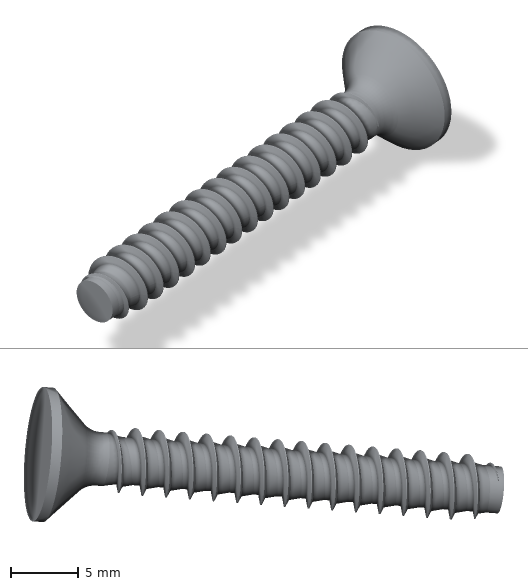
import cadquery as cq
import math

length = 35.0

head_radius = 5.0
rim_height = 0.77
neck_radius = 2.0
neck_blend_radius = 1.9
neck_end = 5.0
cone_angle = math.radians(45)

core_radius = 1.75
core_start = 6.3
crest_radius = 2.5
shoulder_radius = 1.95
thread_sink = 0.07
base_radius = core_radius - thread_sink
crest_width = 0.07
flank_width = 0.25
root_slope_width = 1.15

full_turns = 14.5
full_turns_length = 26.1
pitch = full_turns_length / full_turns
first_full_crest = 6.65
fade_turns = 1.0
run_in_start = -fade_turns
run_out_end = full_turns + fade_turns
run_in_scale = 0.5
run_out_scale = 0.2
points_per_turn = 16
stretch_turns = 0.5
stretch_count = round((run_out_end - run_in_start) / stretch_turns)


def make_body():
    """Head, neck and plain core as one revolved outline of (radius, Y) points."""
    blend_radius_at_cone = neck_radius + neck_blend_radius * (1 - math.cos(cone_angle))
    cone_end = rim_height + (head_radius - blend_radius_at_cone) / math.tan(cone_angle)
    blend_end = cone_end + neck_blend_radius * math.sin(cone_angle)
    half_angle = cone_angle / 2
    blend_mid_radius = neck_radius + neck_blend_radius * (1 - math.cos(half_angle))
    blend_mid = blend_end - neck_blend_radius * math.sin(half_angle)
    return (
        cq.Workplane("ZY")
        .lineTo(head_radius, 0)
        .lineTo(head_radius, -rim_height)
        .lineTo(blend_radius_at_cone, -cone_end)
        .threePointArc((blend_mid_radius, -blend_mid), (neck_radius, -blend_end))
        .lineTo(neck_radius, -neck_end)
        .lineTo(core_radius, -core_start)
        .lineTo(core_radius, -length)
        .lineTo(0, -length)
        .close()
        .revolve(360, (0, 0), (0, 1))
    )


def thread_scale(turn):
    """Size of the thread section relative to its full size at a given turn."""
    if turn < 0:
        return 1 + (1 - run_in_scale) * turn / fade_turns
    if turn > full_turns:
        return 1 - (1 - run_out_scale) * (turn - full_turns) / fade_turns
    return 1.0


def helix_tangent(radius, turn):
    """Change of position per turn along the helix, so that neighbouring stretches meet smoothly."""
    angle = 2 * math.pi * turn
    circumference = 2 * math.pi * radius
    return cq.Vector(-circumference * math.sin(angle), -pitch, circumference * math.cos(angle))


def corner_path(offset, height, start, end):
    """Helical edge followed by one corner of the thread section between two turns."""
    steps = round((end - start) * points_per_turn)
    turns = [start + step / points_per_turn for step in range(steps + 1)]
    radii = [base_radius + thread_scale(turn) * height for turn in turns]
    points = []
    for turn, radius in zip(turns, radii):
        depth = first_full_crest + pitch * turn + thread_scale(turn) * offset
        angle = 2 * math.pi * turn
        points.append(cq.Vector(radius * math.cos(angle), -depth, radius * math.sin(angle)))
    end_tangents = [helix_tangent(radii[0], start), helix_tangent(radii[-1], end)]
    return cq.Edge.makeSpline(points, tangents=end_tangents, parameters=turns, scale=False)


def end_face(paths, end):
    """Flat cap across the thread section at the start (0) or end (1) of the corner paths."""
    corners = [path.positionAt(end) for path in paths]
    return cq.Face.makeFromWires(cq.Wire.makePolygon(corners, close=True))


def make_thread():
    """Solid thread ridge: ruled faces between the corner paths, closed by flat ends."""
    crest_height = crest_radius - base_radius
    shoulder_height = shoulder_radius - base_radius
    half_crest = crest_width / 2
    shoulder_offset = half_crest + flank_width
    section = [
        (-half_crest - flank_width, 0),
        (-half_crest, crest_height),
        (half_crest, crest_height),
        (shoulder_offset, shoulder_height),
        (shoulder_offset + root_slope_width, 0),
    ]
    stretch_starts = [run_in_start + stretch * stretch_turns for stretch in range(stretch_count)]
    faces = []
    for start in stretch_starts:
        paths = [corner_path(*corner, start, start + stretch_turns) for corner in section]
        for index, path in enumerate(paths):
            faces.append(cq.Face.makeRuledSurface(paths[index - 1], path))
        if start == stretch_starts[0]:
            faces.append(end_face(paths, 0))
    faces.append(end_face(paths, 1))
    return cq.Solid.makeSolid(cq.Shell.makeShell(faces))


result = make_body().union(cq.Workplane(make_thread()))